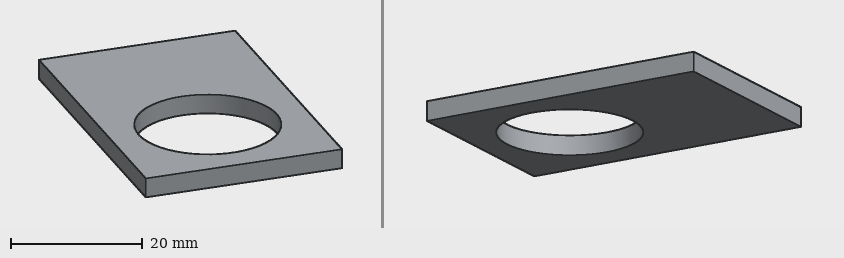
import cadquery as cq

length = 47.25
width = 31.75
thickness = 3.15

hole_diameter = 22.35
hole_edge_distance = 15.75
hole_x = length / 2 - hole_edge_distance
hole_y = -0.1

plate = cq.Workplane("XY").box(length, width, thickness)

result = (
    plate.faces(">Z")
    .workplane(origin=(0, 0, 0))
    .center(hole_x, hole_y)
    .hole(hole_diameter)
)